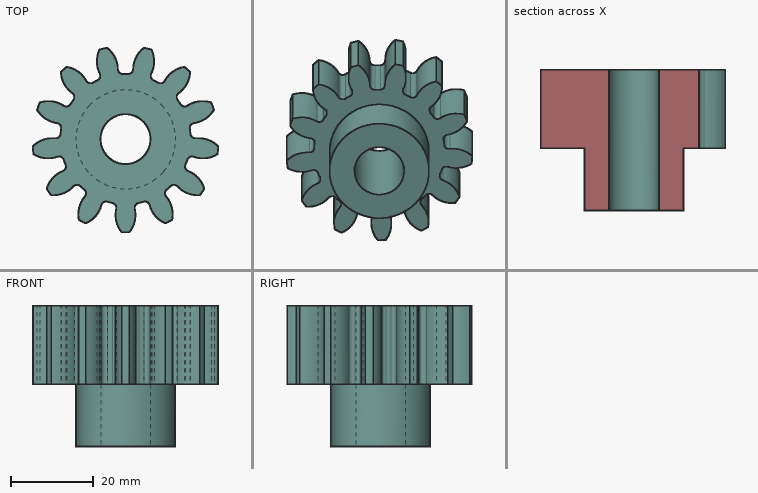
import cadquery as cq
import math

MODULE = 3.0
TOOTH_COUNT = 13
PRESSURE_ANGLE = math.radians(20)
DEDENDUM_FACTOR = 1.25
FACE_WIDTH = 19.0
ROOT_FILLET_FACTOR = 0.38

HUB_DIAMETER = 24.0
HUB_LENGTH = 15.0
BORE_DIAMETER = 12.0

PITCH_RADIUS = MODULE * TOOTH_COUNT / 2
TIP_RADIUS = PITCH_RADIUS + MODULE
ROOT_RADIUS = PITCH_RADIUS - DEDENDUM_FACTOR * MODULE
BASE_RADIUS = PITCH_RADIUS * math.cos(PRESSURE_ANGLE)
FLANK_RADIUS = PITCH_RADIUS * math.sin(PRESSURE_ANGLE)
ROOT_FILLET = ROOT_FILLET_FACTOR * MODULE

TOTAL_LENGTH = HUB_LENGTH + FACE_WIDTH
TOOTH_PITCH_ANGLE = 2 * math.pi / TOOTH_COUNT
FIRST_TOOTH_ANGLE = -math.pi / 2


def polar(radius, angle):
    return radius * math.cos(angle), radius * math.sin(angle)


def involute(angle):
    return math.tan(angle) - angle


def half_tooth_angle(radius):
    """Angle from the tooth axis to the involute flank at a radius."""
    local_pressure_angle = math.acos(BASE_RADIUS / radius)
    quarter_pitch = TOOTH_PITCH_ANGLE / 4
    return quarter_pitch + involute(PRESSURE_ANGLE) - involute(local_pressure_angle)


def flank_center():
    """Centre of the flank arc of a tooth along +X, on its +Y side.

    The arc stands in for the involute and meets it at the tip and pitch circles.
    """
    tip_x, tip_y = polar(TIP_RADIUS, half_tooth_angle(TIP_RADIUS))
    pitch_x, pitch_y = polar(PITCH_RADIUS, half_tooth_angle(PITCH_RADIUS))
    chord_x, chord_y = tip_x - pitch_x, tip_y - pitch_y
    chord = math.hypot(chord_x, chord_y)
    center_offset = math.sqrt(FLANK_RADIUS**2 - (chord / 2)**2)
    center_x = (tip_x + pitch_x) / 2 + center_offset * chord_y / chord
    center_y = (tip_y + pitch_y) / 2 - center_offset * chord_x / chord
    return center_x, center_y


def half_arc_angle(radius):
    """Angle from the tooth axis to the flank arc at a radius."""
    center_x, center_y = flank_center()
    distance = math.hypot(center_x, center_y)
    cosine = (radius**2 + distance**2 - FLANK_RADIUS**2) / (2 * radius * distance)
    return math.atan2(center_y, center_x) + math.acos(cosine)


def make_toothed_rim():
    tip_half = half_arc_angle(TIP_RADIUS)
    pitch_half = half_arc_angle(PITCH_RADIUS)
    root_half = half_arc_angle(ROOT_RADIUS)

    outline = cq.Workplane("XY").workplane(offset=HUB_LENGTH)
    outline = outline.moveTo(*polar(ROOT_RADIUS, FIRST_TOOTH_ANGLE - root_half))
    for index in range(TOOTH_COUNT):
        axis = FIRST_TOOTH_ANGLE + index * TOOTH_PITCH_ANGLE
        next_axis = axis + TOOTH_PITCH_ANGLE
        outline = (
            outline
            .threePointArc(polar(PITCH_RADIUS, axis - pitch_half), polar(TIP_RADIUS, axis - tip_half))
            .threePointArc(polar(TIP_RADIUS, axis), polar(TIP_RADIUS, axis + tip_half))
            .threePointArc(polar(PITCH_RADIUS, axis + pitch_half), polar(ROOT_RADIUS, axis + root_half))
            .threePointArc(
                polar(ROOT_RADIUS, axis + TOOTH_PITCH_ANGLE / 2),
                polar(ROOT_RADIUS, next_axis - root_half),
            )
        )
    rim = outline.close().extrude(FACE_WIDTH)

    def is_root_edge(edge):
        center = edge.Center()
        return math.hypot(center.x, center.y) < (ROOT_RADIUS + PITCH_RADIUS) / 2

    root_edges = [edge for edge in rim.edges("|Z").vals() if is_root_edge(edge)]
    return rim.newObject(root_edges).fillet(ROOT_FILLET)


def make_hub():
    return cq.Workplane("XY").circle(HUB_DIAMETER / 2).extrude(HUB_LENGTH)


def make_bore():
    return cq.Workplane("XY").circle(BORE_DIAMETER / 2).extrude(TOTAL_LENGTH)


result = make_toothed_rim().union(make_hub()).cut(make_bore())